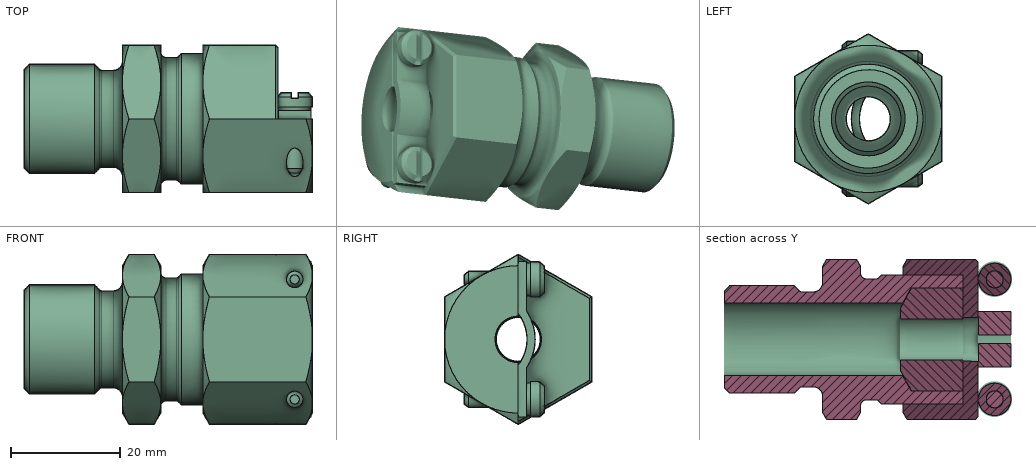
import cadquery as cq
import math

TOTAL_LENGTH = 52.8
ACROSS_FLATS = 27.0
HEX_CHAMFER_ANGLE = math.radians(30)

ENTRY_DIAMETER = 20.0
ENTRY_END = 12.9
ENTRY_CHAMFER = 1.0
ENTRY_NECK_DIAMETER = 17.8
ENTRY_COVE = 1.65
BODY_HEX_START = 18.0
BODY_HEX_WIDTH = 7.0
COLLAR_DIAMETER = 23.95
COLLAR_START = 28.85
COLLAR_NECK_DIAMETER = 22.5
COLLAR_COVE = 1.0
RUNOUT_FILLET = 0.55
RUNOUT_ANGLE = math.radians(45)
BORE_DIAMETER = 13.5

SEAL_DIAMETER = 19.0
SEAL_NOSE_DIAMETER = 12.0
SEAL_HOLE_DIAMETER = 8.0
SEAL_SEAT_START = 32.75
SEAL_NOSE_TILT = math.radians(30)

NUT_START = 32.75
NUT_CAVITY_END = 43.8
NUT_STEP = 46.5
NUT_STEP_CHAMFER = 0.5
NUT_HOLE_DIAMETER = 8.5

STRAP_WIDTH = 6.0
STRAP_LENGTH = 28.5
STRAP_THICKNESS = 1.55
ARCH_INNER_RADIUS = 7.65
ARCH_INNER_HEIGHT = 1.6

SCREW_SPACING = 21.95
SCREW_DIAMETER = 3.0
SCREW_TIP_Y = -9.9
TIP_LENGTH = 0.85
TIP_DIAMETER = 1.7
HEAD_DIAMETER = 6.5
HEAD_HEIGHT = 2.6
HEAD_TAPER_LENGTH = 0.85
HEAD_TAPER_INSET = 0.75
SLOT_WIDTH = 1.2
SLOT_DEPTH = 1.0
WASHER_DIAMETER = 6.0
WASHER_THICKNESS = 0.7

BODY_HEX_END = BODY_HEX_START + BODY_HEX_WIDTH
SCREW_X = TOTAL_LENGTH - HEAD_DIAMETER / 2
SCREW_POSITIONS_Z = (-SCREW_SPACING / 2, SCREW_SPACING / 2)
WASHER_Y = STRAP_THICKNESS
HEAD_Y = WASHER_Y + WASHER_THICKNESS


def rod_x(diameter, start, end):
    """Cylinder along the X axis."""
    return cq.Workplane("YZ", origin=(start, 0, 0)).circle(diameter / 2).extrude(end - start)


def rod_y(diameter, start, end, z):
    """Cylinder parallel to Y on a screw axis."""
    origin = (SCREW_X, start, z)
    return cq.Workplane("ZX", origin=origin).circle(diameter / 2).extrude(end - start)


def revolve_about_x(outline):
    return outline.close().revolve(360, (0, 0, 0), (1, 0, 0))


def hexagon(start, end):
    """Hexagonal prism along X with corners at +Z and -Z."""
    corner_diameter = ACROSS_FLATS / math.cos(math.pi / 6)
    prism = cq.Workplane("YZ", origin=(start, 0, 0)).polygon(6, corner_diameter).extrude(end - start)
    return prism.rotate((0, 0, 0), (1, 0, 0), 90)


def chamfered_hexagon(start, end):
    """Hexagonal prism with the corners turned off conically at both ends."""
    face_radius = ACROSS_FLATS / 2
    half_length = (end - start) / 2
    middle_radius = face_radius + half_length / math.tan(HEX_CHAMFER_ANGLE)
    double_cone = revolve_about_x(
        cq.Workplane("XY")
        .moveTo(start, 0)
        .lineTo(start, face_radius)
        .lineTo(start + half_length, middle_radius)
        .lineTo(end, face_radius)
        .lineTo(end, 0)
    )
    return hexagon(start, end).intersect(double_cone)


def neck(hex_face, thread_end, neck_diameter, thread_diameter, cove):
    """Undercut with a cove against the hexagon and a sloping run-out up to the thread."""
    toward = math.copysign(1, thread_end - hex_face)
    neck_radius = neck_diameter / 2
    thread_radius = thread_diameter / 2
    cove_inset = cove * (1 - math.sqrt(0.5))
    fillet_rise = RUNOUT_FILLET * (1 - math.cos(RUNOUT_ANGLE))
    slope_length = (thread_radius - neck_radius - fillet_rise) / math.tan(RUNOUT_ANGLE)
    runout_length = slope_length + RUNOUT_FILLET * math.sin(RUNOUT_ANGLE)
    fillet_start = thread_end - toward * runout_length

    def fillet_point(angle):
        along = RUNOUT_FILLET * math.sin(angle)
        rise = RUNOUT_FILLET * (1 - math.cos(angle))
        return fillet_start + toward * along, neck_radius + rise

    return revolve_about_x(
        cq.Workplane("XY")
        .moveTo(hex_face, 0)
        .lineTo(hex_face, neck_radius + cove)
        .threePointArc(
            (hex_face + toward * cove_inset, neck_radius + cove_inset),
            (hex_face + toward * cove, neck_radius),
        )
        .lineTo(fillet_start, neck_radius)
        .threePointArc(fillet_point(RUNOUT_ANGLE / 2), fillet_point(RUNOUT_ANGLE))
        .lineTo(thread_end, thread_radius)
        .lineTo(thread_end, 0)
    )


def seal_envelope(nose_diameter):
    """Solid plug with a conical nose, ending at the nut's end wall."""
    nose_radius = nose_diameter / 2
    cone_slope = math.tan(SEAL_NOSE_TILT)
    bore_radius = BORE_DIAMETER / 2
    shoulder_radius = SEAL_DIAMETER / 2
    nose_x = SEAL_SEAT_START - (bore_radius - nose_radius) * cone_slope
    shoulder_x = SEAL_SEAT_START + (shoulder_radius - bore_radius) * cone_slope
    return revolve_about_x(
        cq.Workplane("XY")
        .moveTo(nose_x, 0)
        .lineTo(nose_x, nose_radius)
        .lineTo(shoulder_x, shoulder_radius)
        .lineTo(NUT_CAVITY_END, shoulder_radius)
        .lineTo(NUT_CAVITY_END, 0)
    )


def make_body():
    entry = rod_x(ENTRY_DIAMETER, 0, ENTRY_END).faces("<X").chamfer(ENTRY_CHAMFER)
    entry_neck = neck(BODY_HEX_START, ENTRY_END, ENTRY_NECK_DIAMETER, ENTRY_DIAMETER, ENTRY_COVE)
    wrench_hex = chamfered_hexagon(BODY_HEX_START, BODY_HEX_END)
    collar_neck = neck(BODY_HEX_END, COLLAR_START, COLLAR_NECK_DIAMETER, COLLAR_DIAMETER, COLLAR_COVE)
    collar = rod_x(COLLAR_DIAMETER, COLLAR_START, NUT_CAVITY_END)
    solid = entry.union(entry_neck).union(wrench_hex).union(collar_neck).union(collar)
    bore = rod_x(BORE_DIAMETER, 0, NUT_CAVITY_END)
    return solid.cut(bore).cut(seal_envelope(BORE_DIAMETER))


def make_seal():
    hole = rod_x(SEAL_HOLE_DIAMETER, 0, TOTAL_LENGTH)
    return seal_envelope(SEAL_NOSE_DIAMETER).cut(hole)


def make_nut():
    short_hex = chamfered_hexagon(NUT_START, TOTAL_LENGTH).intersect(
        hexagon(NUT_START, NUT_STEP).faces(">X").chamfer(NUT_STEP_CHAMFER)
    )
    lower_space = cq.Workplane("XY", origin=(0, -ACROSS_FLATS, 0)).box(
        TOTAL_LENGTH, ACROSS_FLATS, 2 * ACROSS_FLATS, centered=(False, False, True)
    )
    long_half = chamfered_hexagon(NUT_START, TOTAL_LENGTH).intersect(lower_space)
    nut = short_hex.cut(lower_space).union(long_half)
    nut = nut.cut(rod_x(COLLAR_DIAMETER, NUT_START, NUT_CAVITY_END))
    nut = nut.cut(rod_x(NUT_HOLE_DIAMETER, NUT_CAVITY_END, TOTAL_LENGTH))
    for z in SCREW_POSITIONS_Z:
        nut = nut.cut(rod_y(SCREW_DIAMETER, -ACROSS_FLATS, 0, z))
        nut = nut.cut(rod_y(HEAD_DIAMETER, HEAD_Y, HEAD_Y + HEAD_HEIGHT, z))
    return nut


def make_strap():
    """Flat bar with a concentric arch over the cable."""
    arch_axis_y = ARCH_INNER_HEIGHT - ARCH_INNER_RADIUS
    arch_outer_radius = ARCH_INNER_RADIUS + STRAP_THICKNESS
    start_x = SCREW_X - STRAP_WIDTH / 2

    def arch_disc(radius):
        plane = cq.Workplane("YZ", origin=(start_x, arch_axis_y, 0))
        return plane.circle(radius).extrude(STRAP_WIDTH)

    def block(height):
        """Block as long and wide as the strap, rising from the flat of the nut."""
        plane = cq.Workplane("XY", origin=(start_x, 0, 0))
        return plane.box(STRAP_WIDTH, height, STRAP_LENGTH, centered=(False, False, True))

    arch = arch_disc(arch_outer_radius).intersect(block(arch_outer_radius))
    strap = block(STRAP_THICKNESS).union(arch).cut(arch_disc(ARCH_INNER_RADIUS))
    for z in SCREW_POSITIONS_Z:
        strap = strap.cut(rod_y(SCREW_DIAMETER, 0, STRAP_THICKNESS, z))
    return strap


def make_washer(z):
    disc = rod_y(WASHER_DIAMETER, WASHER_Y, HEAD_Y, z)
    return disc.cut(rod_y(SCREW_DIAMETER, WASHER_Y, HEAD_Y, z))


def make_screw(z):
    """Slotted cheese-head screw with a tapered tip, pointing toward -Y."""
    head_top = HEAD_Y + HEAD_HEIGHT
    head = rod_y(HEAD_DIAMETER, HEAD_Y, head_top, z)
    head = head.faces(">Y").edges().chamfer(HEAD_TAPER_LENGTH, HEAD_TAPER_INSET)
    slot = cq.Workplane("XY").box(SLOT_WIDTH, 2 * SLOT_DEPTH, 2 * HEAD_DIAMETER)
    head = head.cut(slot.translate((SCREW_X, head_top, z)))
    tip_taper = (SCREW_DIAMETER - TIP_DIAMETER) / 2
    shank = rod_y(SCREW_DIAMETER, SCREW_TIP_Y, HEAD_Y, z)
    shank = shank.faces("<Y").edges().chamfer(TIP_LENGTH, tip_taper)
    return head.union(shank)


body = make_body()
seal = make_seal()
nut = make_nut()
strap = make_strap()
washers = [make_washer(z) for z in SCREW_POSITIONS_Z]
screws = [make_screw(z) for z in SCREW_POSITIONS_Z]

result = cq.Compound.makeCompound(
    [part.solids().val() for part in (body, seal, nut, strap, *washers, *screws)]
)